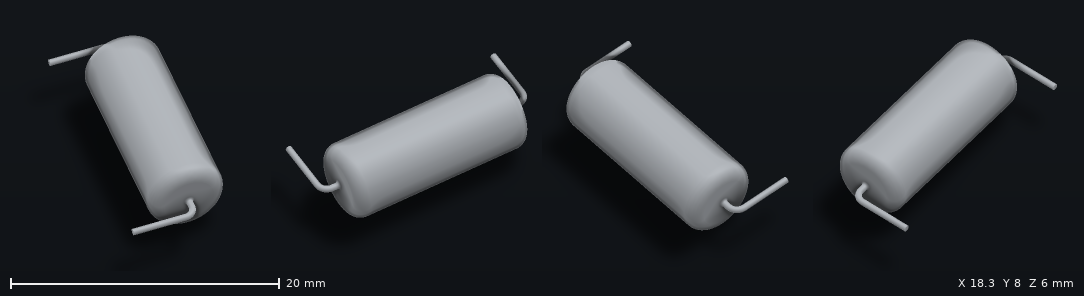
import cadquery as cq


body_length = 15.0
body_diameter = 6.0
body_edge_radius = 1.0

lead_pitch = 17.78
lead_diameter = 0.5
lead_bend_radius = 0.8
lead_reach = 5.0

root_fillet_radius = 0.2

body_end_x = body_length / 2
lead_x = lead_pitch / 2
lead_radius = lead_diameter / 2
bend_start_x = lead_x - lead_bend_radius


def make_body():
    """Cylinder along X, centred on the origin, with rounded end edges."""
    end_plane = cq.Workplane("YZ", origin=(-body_end_x, 0, 0))
    cylinder = end_plane.circle(body_diameter / 2).extrude(body_length)
    return cylinder.faces("<X or >X").edges().fillet(body_edge_radius)


def make_lead():
    """Round wire on the +X side: out of the body, then bent to run along -Y."""
    path = (
        cq.Workplane("XY")
        .moveTo(0, 0)
        .lineTo(bend_start_x, 0)
        .tangentArcPoint((lead_x, -lead_bend_radius), relative=False)
        .lineTo(lead_x, -lead_reach)
    )
    return cq.Workplane("YZ").circle(lead_radius).sweep(path)


def make_root_fillet():
    """Concave flare around the lead on the +X end face of the body."""
    flare_radius = lead_radius + root_fillet_radius
    flare_end_x = body_end_x + root_fillet_radius
    profile = (
        cq.Workplane("XY")
        .moveTo(0, 0)
        .lineTo(0, flare_radius)
        .lineTo(body_end_x, flare_radius)
        .radiusArc((flare_end_x, lead_radius), -root_fillet_radius)
        .lineTo(flare_end_x, 0)
        .close()
    )
    return profile.revolve(360, (0, 0, 0), (1, 0, 0))


lead_assembly = make_lead().union(make_root_fillet())
result = make_body().union(lead_assembly).union(lead_assembly.mirror("YZ"))